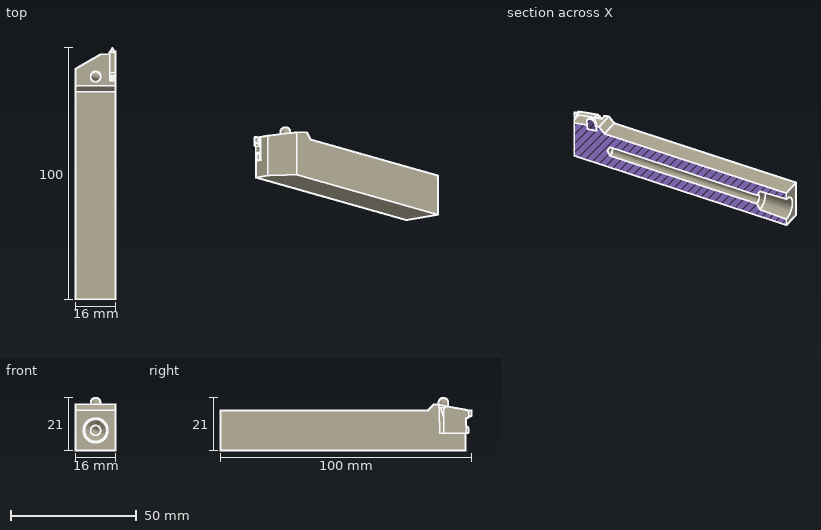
import cadquery as cq
import math

SHANK = 16.0
FRONT_Y = 97.5
CREST_Y = 85.0
CREST_Z = 18.5
RAMP_FOOT_Y = 82.5
HEAD_SLOPE = 10.0
BEVEL_X = 10.0
BEVEL_Y = 5.8

PORT_MOUTH_D = 9.8
PORT_D = 8.8
PORT_DEPTH = 12.0
PASSAGE_D = 4.0
PASSAGE_END_Y = 80.0
DRILL_POINT = 118.0

INSERT_X = 13.6
POCKET_REAR_Y = 87.3
POCKET_LEAN = 0.4
SEAT_Z = 6.8
TIP_Y = 100.0
TIP_Z = 16.0
NOSE_ROOT_Z = 12.6
TIP_HEIGHT = 2.1
NOSE_X = 13.4
SHOULDER_Y = 98.7
SHOULDER_CUT = 0.4
RAKE_END_Y = 98.2
NECK_Y = 97.7
TOOTH_WIDTH = 1.4
LOWER_TOOTH_Y = 98.8
LOWER_TOOTH_FOOT_Y = 98.4
LOWER_TOOTH_FLAT_Z = 7.5
LOWER_TOOTH_TOP_Z = 8.9
LOWER_ROOT_Z = 10.0
BACK_TOP_Y = 90.2
BACK_STEP_Y = 89.2
BACK_STEP_DROP = 0.5
REAR_TOOTH_ROOT_Y = 88.9
REAR_TOOTH_TIP_Y = 87.6
REAR_TOOTH_BOTTOM_Z = 13.0

NOZZLE_D = 4.0
NOZZLE_X = SHANK / 2
NOZZLE_Y = 88.5
NOZZLE_TOP_Z = 21.0
NOZZLE_SOCKET = 2.0

TOOTH_X = (NOSE_X + SHANK) / 2


def head_top_z(y):
    """Height of the sloped top face of the head at a given Y."""
    return CREST_Z - (y - CREST_Y) * math.tan(math.radians(HEAD_SLOPE))


def point_depth(diameter):
    """Length of a drill point of the given diameter."""
    return diameter / 2 / math.tan(math.radians(DRILL_POINT / 2))


def side_prism(points, x_start, x_end):
    """Outline of (Y, Z) points extruded along X."""
    return cq.Workplane("YZ", origin=(x_start, 0, 0)).polyline(points).close().extrude(x_end - x_start)


def make_nozzle():
    """Domed pin standing square to the sloped top of the head, sunk into it by the socket depth."""
    radius = NOZZLE_D / 2
    dome_z = NOZZLE_TOP_Z - radius
    surface_z = head_top_z(NOZZLE_Y)
    tilt = math.radians(HEAD_SLOPE)
    stem_top = (dome_z - surface_z) / math.cos(tilt)
    stem_base = cq.Workplane("XY", origin=(0, 0, -NOZZLE_SOCKET))
    stem = stem_base.circle(radius).extrude(NOZZLE_SOCKET + stem_top)
    dome = cq.Workplane("XY", origin=(0, 0, stem_top)).sphere(radius)
    return (
        stem.union(dome)
        .rotate((0, 0, 0), (1, 0, 0), -HEAD_SLOPE)
        .translate((NOZZLE_X, NOZZLE_Y, surface_z))
    )


def make_port():
    """Coolant bore: tapered port, conical bottom, narrower passage with a drill point."""
    cone_end_y = PORT_DEPTH + point_depth(PORT_D) - point_depth(PASSAGE_D)
    half_section = [
        (0, 0),
        (PORT_MOUTH_D / 2, 0),
        (PORT_D / 2, PORT_DEPTH),
        (PASSAGE_D / 2, cone_end_y),
        (PASSAGE_D / 2, PASSAGE_END_Y),
        (0, PASSAGE_END_Y + point_depth(PASSAGE_D)),
    ]
    bore = cq.Workplane("XY").polyline(half_section).close().revolve(360, (0, 0, 0), (0, 1, 0))
    return bore.translate((SHANK / 2, 0, SHANK / 2))


def make_tooth(root_y, tip_y, side_outline):
    """V-shaped tooth: a triangle in plan, trimmed to a (Y, Z) side outline."""
    half = TOOTH_WIDTH / 2
    plan = [(TOOTH_X - half, root_y), (TOOTH_X + half, root_y), (TOOTH_X, tip_y)]
    wedge = cq.Workplane("XY").polyline(plan).close().extrude(CREST_Z)
    return wedge.intersect(side_prism(side_outline, INSERT_X, SHANK))


def make_nose():
    """Front nose of the insert with its V tooth, undercut toward the neck."""
    half = TOOTH_WIDTH / 2
    plan = [
        (NOSE_X, NECK_Y),
        (NOSE_X, SHOULDER_Y - SHOULDER_CUT),
        (TOOTH_X - half, SHOULDER_Y),
        (TOOTH_X, TIP_Y),
        (TOOTH_X + half, SHOULDER_Y),
        (SHANK, SHOULDER_Y),
        (SHANK, NECK_Y),
    ]
    side_outline = [
        (NECK_Y, head_top_z(NECK_Y)),
        (RAKE_END_Y, TIP_Z),
        (TIP_Y, TIP_Z),
        (TIP_Y, TIP_Z - TIP_HEIGHT),
        (NECK_Y, NOSE_ROOT_Z),
    ]
    blank = cq.Workplane("XY").polyline(plan).close().extrude(CREST_Z)
    return blank.intersect(side_prism(side_outline, NOSE_X, SHANK))


def make_insert():
    """Cutting insert: sloped body with a front nose, a lower front tooth and a rear tooth."""
    step_z = head_top_z(BACK_TOP_Y) - BACK_STEP_DROP
    body = side_prism(
        [
            (NECK_Y, SEAT_Z),
            (NECK_Y, head_top_z(NECK_Y)),
            (BACK_TOP_Y, head_top_z(BACK_TOP_Y)),
            (BACK_STEP_Y, step_z),
            (REAR_TOOTH_ROOT_Y, step_z),
            (REAR_TOOTH_ROOT_Y, SEAT_Z),
        ],
        INSERT_X,
        SHANK,
    )
    lower_tooth = make_tooth(
        NECK_Y,
        LOWER_TOOTH_Y,
        [
            (NECK_Y, LOWER_ROOT_Z),
            (LOWER_TOOTH_Y, LOWER_TOOTH_TOP_Z),
            (LOWER_TOOTH_Y, LOWER_TOOTH_FLAT_Z),
            (LOWER_TOOTH_FOOT_Y, SEAT_Z),
            (NECK_Y, SEAT_Z),
        ],
    )
    rear_tooth = make_tooth(
        REAR_TOOTH_ROOT_Y,
        REAR_TOOTH_TIP_Y,
        [
            (REAR_TOOTH_ROOT_Y, step_z),
            (REAR_TOOTH_TIP_Y, step_z),
            (REAR_TOOTH_ROOT_Y, REAR_TOOTH_BOTTOM_Z),
        ],
    )
    return body.union(make_nose()).union(lower_tooth).union(rear_tooth)


def make_holder(nozzle):
    """Shank and head, with the insert pocket, coolant bore and nozzle socket cut out."""
    blank = side_prism(
        [
            (0, 0),
            (FRONT_Y, 0),
            (FRONT_Y, head_top_z(FRONT_Y)),
            (CREST_Y, CREST_Z),
            (RAMP_FOOT_Y, SHANK),
            (0, SHANK),
        ],
        0,
        SHANK,
    )
    bevel = (
        cq.Workplane("XY")
        .polyline([(0, FRONT_Y - BEVEL_Y), (BEVEL_X, FRONT_Y), (0, FRONT_Y)])
        .close()
        .extrude(CREST_Z)
    )
    pocket = side_prism(
        [
            (POCKET_REAR_Y, SEAT_Z),
            (FRONT_Y, SEAT_Z),
            (FRONT_Y, CREST_Z),
            (POCKET_REAR_Y - POCKET_LEAN, CREST_Z),
        ],
        INSERT_X,
        SHANK,
    )
    return blank.cut(bevel).cut(pocket).cut(make_port()).cut(nozzle)


nozzle = make_nozzle()
insert = make_insert()
holder = make_holder(nozzle)
result = cq.Compound.makeCompound([holder.val(), insert.val(), nozzle.val()])